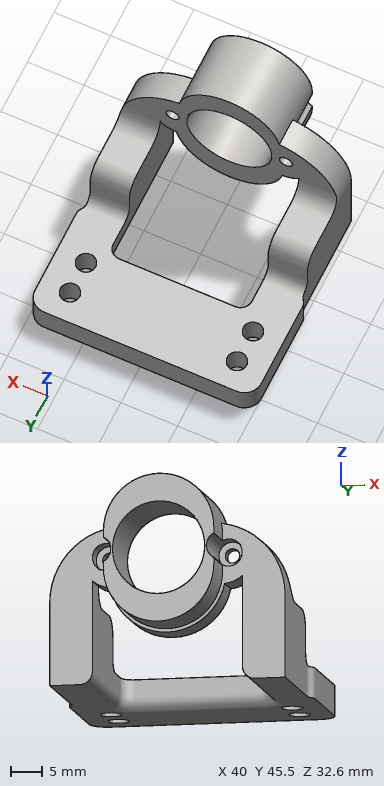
import cadquery as cq
import math

depth = 45.5
plate_width = 40.0
plate_thickness = 5.0
plate_corner_radius = 3.0
mount_hole_diameter = 3.4
mount_hole_x = 14.75
mount_hole_rows_y = (34.5, 40.5)

leg_outer_x = 19.2
leg_inner_x = 12.25
leg_rear_y = 23.5
leg_height = 13.45
leg_top_radius = 3.0
small_radius = 2.0
window_rear_y = 31.58

flange_front_y = 7.0
flange_thickness = 5.0
flange_rear_y = flange_front_y + flange_thickness
flange_fillet = 3.0
shoulder_radius = 12.0
ear_radius = 5.0

axis_z = 20.55
boss_radius = 9.0
boss_half_straight = 3.0
lip_radius = 9.55
bore_diameter = 15.0

screw_x = 10.0
screw_hole_diameter = 2.3
screw_head_diameter = 4.4
screw_head_seat_depth = 3.0


def along_y(center_xz, radius, front_y, rear_y):
    """Cylinder parallel to Y, centred at the given (X, Z)."""
    plane = cq.Workplane("XZ", origin=(0, front_y, 0))
    return plane.center(*center_xz).circle(radius).extrude(front_y - rear_y)


def block(half_width, front_y, rear_y, bottom_z, top_z):
    """Box centred on X = 0."""
    size = (2 * half_width, rear_y - front_y, top_z - bottom_z)
    return cq.Workplane("XY").box(*size, centered=(True, False, False)).translate((0, front_y, bottom_z))


def make_base():
    """Plate and leg footprint, with S-shaped steps where the plate narrows to the legs."""
    plate_x = plate_width / 2
    half_step = (plate_x - leg_outer_x) / 2
    half_run = math.sqrt(2 * small_radius * half_step - half_step**2)
    middle_x = leg_outer_x + half_step
    step_y = leg_rear_y + small_radius + half_step
    bend = math.asin(half_run / small_radius) / 2
    bulge_x = small_radius * (1 - math.cos(bend))
    bulge_y = small_radius * math.sin(bend)
    front_end = step_y - half_run
    rear_end = step_y + half_run
    footprint = (
        cq.Workplane("XY")
        .moveTo(0, flange_front_y)
        .lineTo(leg_outer_x, flange_front_y)
        .lineTo(leg_outer_x, front_end)
        .threePointArc((leg_outer_x + bulge_x, front_end + bulge_y), (middle_x, step_y))
        .threePointArc((plate_x - bulge_x, rear_end - bulge_y), (plate_x, rear_end))
        .lineTo(plate_x, depth - plate_corner_radius)
        .radiusArc((plate_x - plate_corner_radius, depth), -plate_corner_radius)
        .lineTo(0, depth)
        .mirrorY()
        .extrude(axis_z + shoulder_radius)
    )
    side = (
        cq.Workplane("YZ", origin=(-plate_x, 0, 0))
        .moveTo(flange_front_y, 0)
        .lineTo(depth, 0)
        .lineTo(depth, plate_thickness)
        .lineTo(leg_rear_y + small_radius, plate_thickness)
        .radiusArc((leg_rear_y, plate_thickness + small_radius), small_radius)
        .lineTo(leg_rear_y, leg_height - leg_top_radius)
        .radiusArc((leg_rear_y - leg_top_radius, leg_height), -leg_top_radius)
        .lineTo(flange_rear_y + flange_fillet, leg_height)
        .radiusArc((flange_rear_y, leg_height + flange_fillet), flange_fillet)
        .lineTo(flange_rear_y, leg_height + shoulder_radius)
        .lineTo(flange_front_y, leg_height + shoulder_radius)
        .close()
        .extrude(plate_width)
    )
    return footprint.intersect(side).intersect(make_shoulders())


def make_shoulders():
    """Envelope that rounds the tops of the legs into the flange."""
    shoulder_x = leg_outer_x - shoulder_radius
    envelope = block(plate_width / 2, 0, depth, 0, leg_height)
    envelope = envelope.union(block(shoulder_x, 0, depth, 0, leg_height + shoulder_radius))
    for side in (-1, 1):
        envelope = envelope.union(along_y((side * shoulder_x, leg_height), shoulder_radius, 0, depth))
    return envelope


def make_window():
    """Opening between the legs, with its lower rim flared outward by a quarter round."""
    top_z = axis_z + shoulder_radius
    blank = block(plate_width, -depth, 2 * depth, 0, top_z)
    opening = block(leg_inner_x, -depth, window_rear_y, 0, top_z)
    opening = opening.edges("|Z and >Y").fillet(small_radius)
    surround = blank.cut(opening)
    surround = surround.faces("<Z").edges("%CIRCLE").fillet(small_radius)
    return blank.cut(surround)


def make_flange_web():
    """Web joining the legs to the boss: screw ears and a lip beneath the boss."""
    web = block(leg_inner_x, flange_front_y, flange_rear_y, axis_z, leg_height + shoulder_radius)
    for side in (-1, 1):
        ear_center = (side * boss_radius, axis_z)
        web = web.union(along_y(ear_center, ear_radius, flange_front_y, flange_rear_y))
    web = web.intersect(make_shoulders())
    lip_z = axis_z - boss_half_straight
    return web.union(along_y((0, lip_z), lip_radius, flange_front_y, flange_rear_y))


def make_boss():
    """Solid stadium-shaped boss, flush with the rear of the flange."""
    boss = block(boss_radius, 0, flange_rear_y, axis_z - boss_half_straight, axis_z + boss_half_straight)
    for end in (-1, 1):
        end_z = axis_z + end * boss_half_straight
        boss = boss.union(along_y((0, end_z), boss_radius, 0, flange_rear_y))
    return boss


result = make_base().cut(make_window()).union(make_flange_web()).union(make_boss())

result = result.cut(along_y((0, axis_z), bore_diameter / 2, 0, flange_rear_y))
for side in (-1, 1):
    screw_point = (side * screw_x, axis_z)
    seat_y = flange_front_y + screw_head_seat_depth
    result = result.cut(along_y(screw_point, screw_hole_diameter / 2, 0, flange_rear_y))
    result = result.cut(along_y(screw_point, screw_head_diameter / 2, 0, seat_y))
    for row_y in mount_hole_rows_y:
        hole = cq.Workplane("XY").center(side * mount_hole_x, row_y)
        result = result.cut(hole.circle(mount_hole_diameter / 2).extrude(plate_thickness))